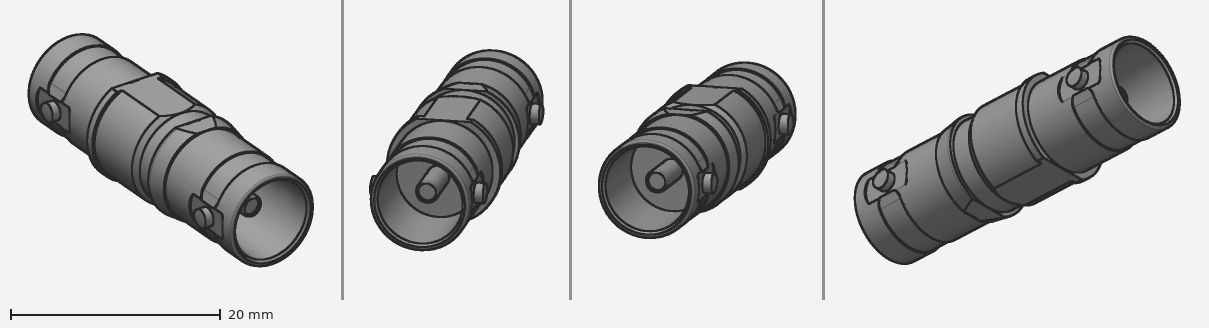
import cadquery as cq
import math

length = 34.0
flange_diameter = 11.05
flat_height = 9.7

barrel_diameter = 9.6
flange_start = 10.98
flange_end = 11.85
body_diameter = 10.55
body_end = 18.1
neck_start = 18.77
neck_diameter = 9.65
collar_start = 20.8
collar_taper_start = 21.1
collar_end = 23.0
collar_end_diameter = 9.93

rim_fillet = 0.2
bore_radius = 4.15
mouth_chamfer = 0.27
floor_radius = 4.05
socket_depth = 8.5

contact_recess = 3.35
contact_radius = 1.1
contact_fillet = 0.2
contact_hole_depth = 0.27

pin_inset = 4.2
pin_radius = 1.0
pin_embed = 0.27
pin_tip_radius = 5.5
spot_face_radius = 2.8
spot_face_span = 9.18
groove_width = 2.8
groove_floor_radius = 4.65
groove_end_angle = 28.3

cutter_height = 0.68

barrel_radius = barrel_diameter / 2
flange_radius = flange_diameter / 2
body_radius = body_diameter / 2
neck_radius = neck_diameter / 2
collar_end_radius = collar_end_diameter / 2
spot_face_offset = spot_face_span / 2
arc_height = math.sqrt(0.5)


def turned_body():
    """Solid of revolution, trimmed to the two wrench flats."""
    rim_radius = barrel_radius - rim_fillet
    rim_inset = rim_fillet * (1 - arc_height)
    rim_mid_radius = barrel_radius - rim_inset
    body = (
        cq.Workplane("XY")
        .lineTo(0, rim_radius)
        .threePointArc((rim_inset, rim_mid_radius), (rim_fillet, barrel_radius))
        .lineTo(flange_start, barrel_radius)
        .lineTo(flange_start, flange_radius)
        .lineTo(flange_end, flange_radius)
        .lineTo(flange_end, body_radius)
        .lineTo(body_end, body_radius)
        .lineTo(neck_start, neck_radius)
        .lineTo(collar_start, neck_radius)
        .lineTo(collar_start, body_radius)
        .lineTo(collar_taper_start, body_radius)
        .lineTo(collar_end, collar_end_radius)
        .lineTo(collar_end, barrel_radius)
        .lineTo(length - rim_fillet, barrel_radius)
        .threePointArc((length - rim_inset, rim_mid_radius), (length, rim_radius))
        .lineTo(length, 0)
        .close()
        .revolve(360, (0, 0, 0), (1, 0, 0))
    )
    slab = cq.Workplane("XY").box(
        length, 2 * flange_diameter, flat_height, centered=(False, True, True)
    )
    return body.intersect(slab)


def socket_cutter():
    """Slightly tapered socket at the X = 0 end, leaving the hollow-tipped contact standing."""
    hole_radius = contact_radius - contact_fillet
    tip_inset = contact_fillet * (1 - arc_height)
    return (
        cq.Workplane("XY")
        .lineTo(0, bore_radius + mouth_chamfer)
        .lineTo(mouth_chamfer, bore_radius)
        .lineTo(socket_depth, floor_radius)
        .lineTo(socket_depth, contact_radius)
        .lineTo(contact_recess + contact_fillet, contact_radius)
        .threePointArc(
            (contact_recess + tip_inset, contact_radius - tip_inset),
            (contact_recess, hole_radius),
        )
        .lineTo(contact_recess + contact_hole_depth, hole_radius)
        .lineTo(contact_recess + contact_hole_depth, 0)
        .close()
        .revolve(360, (0, 0, 0), (1, 0, 0))
    )


def disc_facing_y(radius, start, height):
    """Cylinder on the pin axis, growing in +Y from Y = start."""
    return cq.Workplane("XZ", origin=(pin_inset, start, 0)).circle(radius).extrude(-height)


def groove_cutter():
    """Groove over the top of the barrel, with a round flat-bottomed runout at each end."""
    groove = (
        cq.Workplane("XY")
        .moveTo(pin_inset, groove_floor_radius + cutter_height / 2)
        .rect(groove_width, cutter_height)
        .revolve(180 - 2 * groove_end_angle, (0, 0, 0), (1, 0, 0))
        .rotate((0, 0, 0), (1, 0, 0), groove_end_angle)
    )
    runout = disc_facing_y(groove_width / 2, groove_floor_radius, cutter_height)
    for angle in (groove_end_angle, 180 - groove_end_angle):
        groove = groove.union(runout.rotate((0, 0, 0), (1, 0, 0), angle))
    return groove


def bayonet_pin():
    """Pin on the +Y side of the X = 0 end."""
    tip_envelope = cq.Workplane("YZ").circle(pin_tip_radius).extrude(flange_start)
    root = spot_face_offset - pin_embed
    return disc_facing_y(pin_radius, root, flange_radius - root).intersect(tip_envelope)


def both_ends(shape):
    """The shape and its copy at the X = length end."""
    return shape, shape.mirror("YZ", (length / 2, 0, 0))


groove = groove_cutter()
spot_face = disc_facing_y(spot_face_radius, spot_face_offset, cutter_height)
pin = bayonet_pin()

result = turned_body()
for cutter in (socket_cutter(), groove, groove.mirror("XY"), spot_face, spot_face.mirror("XZ")):
    for end_cutter in both_ends(cutter):
        result = result.cut(end_cutter)

for side_pin in (pin, pin.mirror("XZ")):
    for end_pin in both_ends(side_pin):
        result = result.union(end_pin)